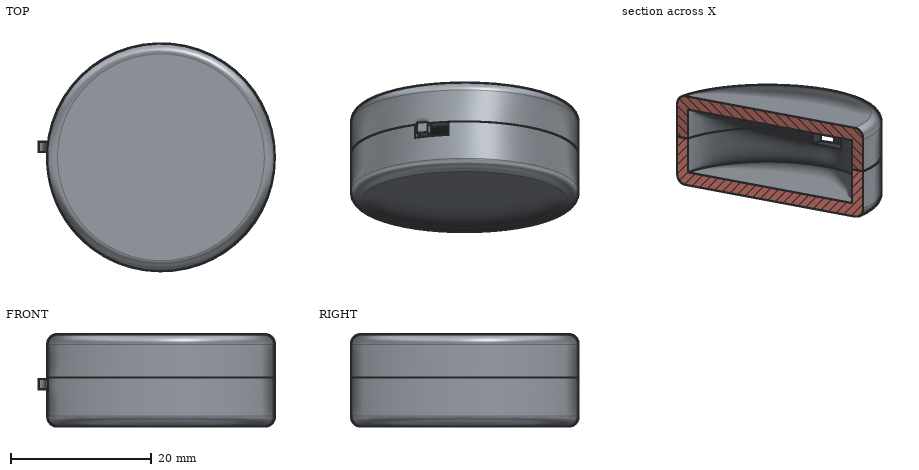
import cadquery as cq

case_diameter = 32.5
cavity_diameter = 28.5
case_height = 13.2
joint_height = 7.0
rim_fillet = 1.5
wall = (case_diameter - cavity_diameter) / 2
lid_height = case_height - joint_height

window_width = 5.0
window_depth = 1.95
window_center_y = 0.5

lever_size = 1.5
lever_length = 2.0
lever_reach = 1.2
lever_center_y = 1.5
lever_gap_to_lid = 0.2


def make_cup(height):
    """Hollow cup with its rounded closed end at Z = 0 and its open end up."""
    cup = cq.Workplane("XY").circle(case_diameter / 2).extrude(height)
    cup = cup.faces("<Z").edges().fillet(rim_fillet)
    cavity = (
        cq.Workplane("XY")
        .workplane(offset=wall)
        .circle(cavity_diameter / 2)
        .extrude(height - wall)
    )
    return cup.cut(cavity)


def make_base():
    """Lower cup with the lever window cut through its -X wall."""
    window = (
        cq.Workplane("XY")
        .box(case_diameter / 2, window_width, window_depth, centered=(False, True, False))
        .translate((-case_diameter / 2, window_center_y, joint_height - window_depth))
    )
    return make_cup(joint_height).cut(window)


def make_lid():
    """Upper cup, turned over so that its open end rests on the base."""
    upturned = make_cup(lid_height).rotate((0, 0, 0), (1, 0, 0), 180)
    return upturned.translate((0, 0, case_height))


def make_lever():
    """Square lever along X, set partway into the window."""
    lever_start_x = -case_diameter / 2 - lever_reach
    lever_bottom = joint_height - lever_gap_to_lid - lever_size
    return (
        cq.Workplane("XY")
        .box(lever_length, lever_size, lever_size, centered=(False, True, False))
        .translate((lever_start_x, lever_center_y, lever_bottom))
    )


base = make_base()
lid = make_lid()
lever = make_lever()

result = cq.Compound.makeCompound([base.val(), lid.val(), lever.val()])